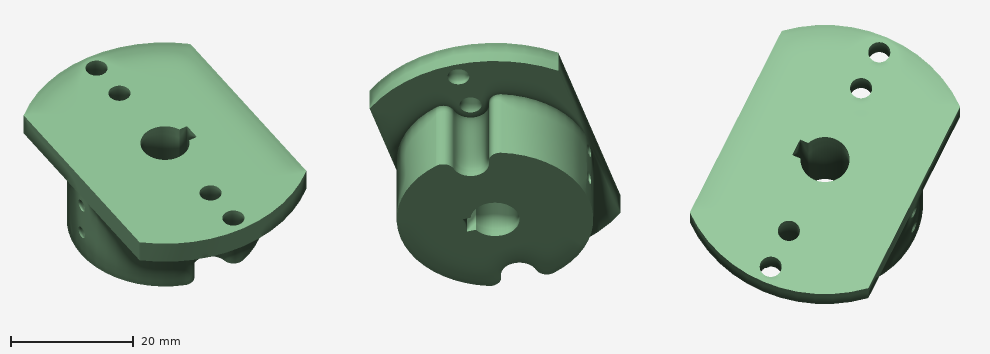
import cadquery as cq

flange_diameter = 47.85
flange_width = 32.0
flange_thickness = 4.0
total_height = 17.0

hub_radius = flange_width / 2
hub_height = total_height - flange_thickness

bore_diameter = 8.0
key_width = 3.0
key_top = 5.15

bolt_hole_diameter = 3.6
inner_bolt_offset = 13.95
outer_bolt_offset = 21.0

groove_radius = 3.0
groove_lip_radius = 1.9

screw_hole_diameter = 2.05
screw_hole_depth = 6.0
screw_tip_depth = 0.6
screw_hole_spacing = 6.0


def make_flange():
    base = cq.Workplane("XY").workplane(offset=hub_height)
    disc = base.circle(flange_diameter / 2).extrude(flange_thickness)
    flats = cq.Workplane("XY").box(flange_diameter, flange_width, 2 * total_height)
    return disc.intersect(flats)


def make_hub():
    hub = cq.Workplane("XY").circle(hub_radius).extrude(hub_height)
    groove_centers = [(-inner_bolt_offset, 0), (inner_bolt_offset, 0)]
    grooves = cq.Workplane("XY").pushPoints(groove_centers).circle(groove_radius).extrude(hub_height)
    hub = hub.cut(grooves)
    lip_x = (hub_radius**2 + inner_bolt_offset**2 - groove_radius**2) / (2 * inner_bolt_offset)
    lip_y = (hub_radius**2 - lip_x**2) ** 0.5
    for x in (-lip_x, lip_x):
        for y in (-lip_y, lip_y):
            corner = cq.selectors.NearestToPointSelector((x, y, hub_height / 2))
            hub = hub.edges("|Z").edges(corner).fillet(groove_lip_radius)
    return hub


def make_bore():
    bore = cq.Workplane("XY").circle(bore_diameter / 2).extrude(total_height)
    key = cq.Workplane("XY").center(0, key_top / 2).rect(key_width, key_top).extrude(total_height)
    return bore.union(key)


def make_bolt_holes():
    centers = [
        (side * offset, 0)
        for side in (-1, 1)
        for offset in (inner_bolt_offset, outer_bolt_offset)
    ]
    return cq.Workplane("XY").pushPoints(centers).circle(bolt_hole_diameter / 2).extrude(total_height)


def make_screw_hole(depth_below_top):
    radius = screw_hole_diameter / 2
    bottom_y = screw_hole_depth - hub_radius
    return (
        cq.Workplane("XY")
        .workplane(offset=total_height - depth_below_top)
        .moveTo(0, -hub_radius)
        .lineTo(radius, -hub_radius)
        .lineTo(radius, bottom_y)
        .lineTo(0, bottom_y + screw_tip_depth)
        .close()
        .revolve(360, (0, 0, 0), (0, 1, 0))
    )


result = make_flange().union(make_hub()).cut(make_bore()).cut(make_bolt_holes())
for row in (1, 2):
    result = result.cut(make_screw_hole(row * screw_hole_spacing))